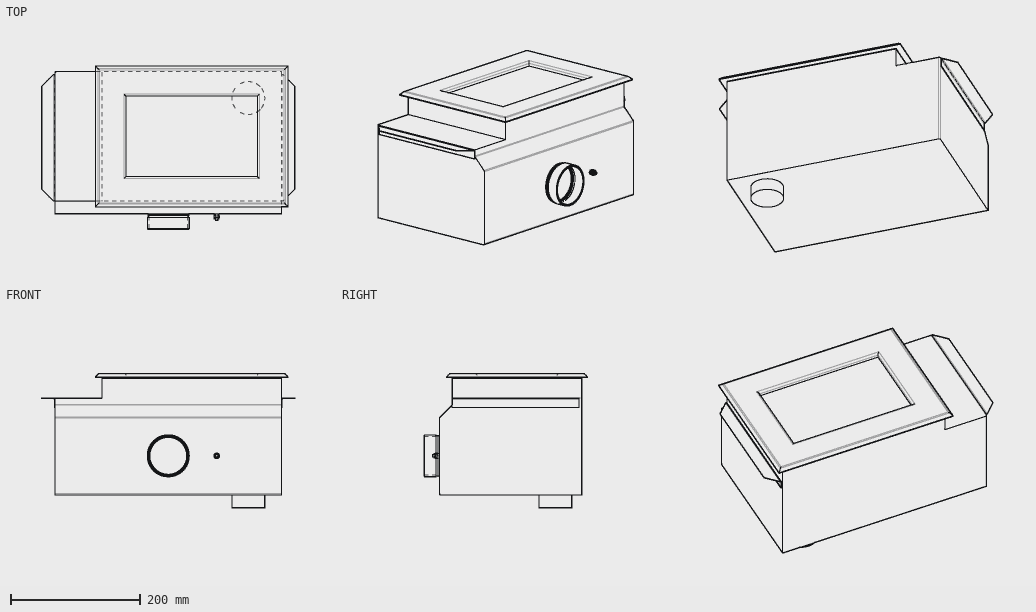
import cadquery as cq


OVERALL_LENGTH = 392.0
BOX_LENGTH = 350.5
BOX_DEPTH = 220.5
STEP_HEIGHT = 150.0
SHOULDER = 19.5
SLOPE_BASE_HEIGHT = 120.0
COLLAR_LEFT = -102.7
COLLAR_TOP = 180.8
BEND_RADIUS = 2.5
SLOPE_BEND_RADIUS = 1.5

LID_OVERHANG = 8.5
LID_SIDE_OVERHANG = 10.0
LID_PAD = 1.0
LID_THICKNESS = 6.3
LID_BEVEL = 5.0
WINDOW_LENGTH = 209.5
WINDOW_DEPTH = 130.5
WINDOW_EDGE_RADIUS = 3.0
LID_EDGE_RADIUS = 2.7

SHEET = 0.98
BRACKET_LEG = 14.5
BRACKET_REAR_GAP = 4.5
BRACKET_BEND_RADIUS = 2.0

SPIGOT_HEIGHT = 60.8
SPIGOT_LENGTH = 24.0
SPIGOT_RADIUS = 32.5
SPIGOT_BORE_RADIUS = 29.8
BASE_LIP_RADIUS = 28.5
BASE_LIP_LENGTH = 2.0
NECK_RADIUS = 31.5
NECK_LENGTH = 5.5
NECK_RING_START = 2.0
NECK_RING_WIDTH = 0.6
NECK_RING_RADIUS = 31.8
SPIGOT_EDGE = 0.98

DRAIN_X = 124.0
DRAIN_REAR_DISTANCE = 41.0
DRAIN_RADIUS = 25.5
DRAIN_LENGTH = 19.5

STUD_X = 75.0
STUD_HEIGHT = SPIGOT_HEIGHT
STUD_RADIUS = 2.0
STUD_LENGTH = 10.5
NUT_ACROSS_CORNERS = 8.0
INNER_NUT_HEIGHT = 3.5
WASHER_RADIUS = 4.5
WASHER_THICKNESS = 2.5
OUTER_NUT_HEIGHT = 2.5

BOX_RIGHT = BOX_LENGTH / 2
COLLAR_LENGTH = BOX_RIGHT - COLLAR_LEFT
COLLAR_DEPTH = BOX_DEPTH - SHOULDER
COLLAR_X = (COLLAR_LEFT + BOX_RIGHT) / 2
COLLAR_Y = (SHOULDER + BOX_DEPTH) / 2
SLOPE_TOP_HEIGHT = SLOPE_BASE_HEIGHT + SHOULDER
LID_TOP = COLLAR_TOP + LID_PAD + LID_THICKNESS


def make_housing():
    """Box with a sloped shoulder along the front and a collar on its right part."""
    side_profile = [
        (0, 0),
        (BOX_DEPTH, 0),
        (BOX_DEPTH, STEP_HEIGHT),
        (SHOULDER, STEP_HEIGHT),
        (SHOULDER, SLOPE_TOP_HEIGHT),
        (0, SLOPE_BASE_HEIGHT),
    ]
    box = cq.Workplane("YZ").polyline(side_profile).close().extrude(BOX_RIGHT, both=True)
    collar = (
        cq.Workplane("XY", origin=(COLLAR_X, COLLAR_Y, 0))
        .rect(COLLAR_LENGTH, COLLAR_DEPTH)
        .extrude(COLLAR_TOP)
    )
    box = box.edges("|Z and >Y").fillet(BEND_RADIUS)
    front_bends = [
        (0, 0, BEND_RADIUS),
        (0, SLOPE_BASE_HEIGHT, BEND_RADIUS),
        (SHOULDER, SLOPE_TOP_HEIGHT, SLOPE_BEND_RADIUS),
    ]
    for y, z, radius in front_bends:
        box = box.edges(cq.selectors.NearestToPointSelector((0, y, z))).fillet(radius)
    return box.union(collar)


def make_lid():
    """Bevelled cover frame with a round-edged window, open to the closed top of the collar."""
    plate = (
        cq.Workplane("XY", origin=(COLLAR_X, COLLAR_Y, COLLAR_TOP + LID_PAD))
        .rect(COLLAR_LENGTH + 2 * LID_SIDE_OVERHANG, COLLAR_DEPTH + 2 * LID_OVERHANG)
        .extrude(LID_THICKNESS)
        .faces(">Z")
        .chamfer(LID_BEVEL)
        .faces(">Z")
        .edges()
        .fillet(LID_EDGE_RADIUS)
    )
    pad = (
        cq.Workplane("XY", origin=(COLLAR_X, COLLAR_Y, COLLAR_TOP))
        .rect(COLLAR_LENGTH, COLLAR_DEPTH)
        .extrude(LID_PAD)
    )
    window = (
        cq.Workplane("XY", origin=(COLLAR_X, COLLAR_Y, COLLAR_TOP))
        .rect(WINDOW_LENGTH - 2 * WINDOW_EDGE_RADIUS, WINDOW_DEPTH - 2 * WINDOW_EDGE_RADIUS)
        .extrude(LID_PAD + LID_THICKNESS)
    )
    lid = plate.union(pad).cut(window)
    rim_margin = WINDOW_EDGE_RADIUS / 2
    rim = cq.selectors.BoxSelector(
        (COLLAR_X - WINDOW_LENGTH / 2, COLLAR_Y - WINDOW_DEPTH / 2, LID_TOP - rim_margin),
        (COLLAR_X + WINDOW_LENGTH / 2, COLLAR_Y + WINDOW_DEPTH / 2, LID_TOP + rim_margin),
    )
    return lid.edges(rim).fillet(WINDOW_EDGE_RADIUS)


def make_bracket(side):
    """Folded angle on an end wall: side is -1 for the left end and 1 for the right end."""
    reach = (OVERALL_LENGTH - BOX_LENGTH) / 2
    length = COLLAR_DEPTH - BRACKET_REAR_GAP
    angle = [
        (0, 0),
        (reach, 0),
        (reach, -SHEET),
        (SHEET, -SHEET),
        (SHEET, -BRACKET_LEG),
        (0, -BRACKET_LEG),
    ]
    bracket = (
        cq.Workplane("XZ", origin=(BOX_RIGHT, SHOULDER, STEP_HEIGHT))
        .polyline(angle)
        .close()
        .extrude(-length)
        .edges("|Z and >X")
        .chamfer(reach - BRACKET_BEND_RADIUS)
    )
    folds = [
        (BOX_RIGHT, STEP_HEIGHT, BRACKET_BEND_RADIUS),
        (BOX_RIGHT + SHEET, STEP_HEIGHT - SHEET, BRACKET_BEND_RADIUS - SHEET),
    ]
    for x, z, radius in folds:
        fold = cq.selectors.NearestToPointSelector((x, COLLAR_Y, z))
        bracket = bracket.edges(fold).fillet(radius)
    return bracket if side > 0 else bracket.mirror("YZ")


def make_spigot():
    """Open pipe stub with a ringed neck where it meets the front wall."""
    ring_end = NECK_RING_START + NECK_RING_WIDTH
    half_section = [
        (BASE_LIP_RADIUS, 0),
        (NECK_RADIUS, 0),
        (NECK_RADIUS, NECK_RING_START),
        (NECK_RING_RADIUS, NECK_RING_START),
        (NECK_RING_RADIUS, ring_end),
        (NECK_RADIUS, ring_end),
        (NECK_RADIUS, NECK_LENGTH),
        (SPIGOT_RADIUS, NECK_LENGTH),
        (SPIGOT_RADIUS, SPIGOT_LENGTH - SPIGOT_EDGE),
        (SPIGOT_RADIUS - SPIGOT_EDGE, SPIGOT_LENGTH),
        (SPIGOT_BORE_RADIUS + SPIGOT_EDGE, SPIGOT_LENGTH),
        (SPIGOT_BORE_RADIUS, SPIGOT_LENGTH - SPIGOT_EDGE),
        (SPIGOT_BORE_RADIUS, BASE_LIP_LENGTH),
        (BASE_LIP_RADIUS, BASE_LIP_LENGTH),
    ]
    return (
        cq.Workplane("XY")
        .polyline(half_section)
        .close()
        .revolve(360, (0, 0, 0), (0, 1, 0))
        .mirror("XZ")
        .translate((0, 0, SPIGOT_HEIGHT))
    )


def make_drain():
    """Plain round stub below the floor."""
    return (
        cq.Workplane("XY", origin=(DRAIN_X, BOX_DEPTH - DRAIN_REAR_DISTANCE, 0))
        .circle(DRAIN_RADIUS)
        .extrude(-DRAIN_LENGTH)
    )


def stud_plane(distance):
    """Plane across the stud axis, at a distance in front of the wall."""
    return cq.Workplane("XZ", origin=(STUD_X, -distance, STUD_HEIGHT))


def make_stud():
    """Round pin standing on the front wall."""
    return stud_plane(0).circle(STUD_RADIUS).extrude(STUD_LENGTH)


def make_nut(distance, height):
    """Hexagon nut around the stud."""
    return (
        stud_plane(distance)
        .polygon(6, NUT_ACROSS_CORNERS)
        .circle(STUD_RADIUS)
        .extrude(height)
    )


def make_washer(distance):
    """Flat ring around the stud."""
    return stud_plane(distance).circle(WASHER_RADIUS).circle(STUD_RADIUS).extrude(WASHER_THICKNESS)


housing = make_housing()
lid = make_lid()
brackets = [make_bracket(side) for side in (-1, 1)]
spigot = make_spigot()
drain = make_drain()
stud = make_stud()
washer = make_washer(INNER_NUT_HEIGHT)
nut_stack = [
    (0, INNER_NUT_HEIGHT),
    (INNER_NUT_HEIGHT + WASHER_THICKNESS, OUTER_NUT_HEIGHT),
]
nuts = [make_nut(distance, height) for distance, height in nut_stack]

result = cq.Compound.makeCompound([
    housing.val(),
    lid.val(),
    *[bracket.val() for bracket in brackets],
    spigot.val(),
    drain.val(),
    stud.val(),
    washer.val(),
    *[nut.val() for nut in nuts],
])